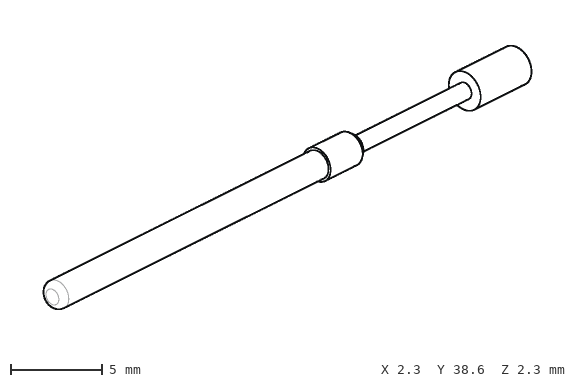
import cadquery as cq

total_length = 38.6

barrel_radius = 0.85
tail_round = 0.4

collar_radius = 1.0
collar_start = 22.05
collar_end = 25.05
collar_chamfer_length = 0.35
collar_chamfer_depth = 0.25

plunger_radius = 0.5

head_radius = 1.15
head_length = 4.25
head_start = total_length - head_length


def rod(radius, start, end):
    """Solid cylinder on the Y axis between two Y positions."""
    return cq.Workplane("XZ", origin=(0, start, 0)).circle(radius).extrude(start - end)


def make_barrel():
    """Straight barrel with a rounded tail that leaves a small flat tip."""
    return rod(barrel_radius, 0, collar_start).faces("<Y").edges().fillet(tail_round)


def make_collar():
    """Press-fit collar, chamfered on the plunger side."""
    profile = (
        cq.Workplane("XY")
        .moveTo(0, collar_start)
        .lineTo(collar_radius, collar_start)
        .lineTo(collar_radius, collar_end - collar_chamfer_length)
        .lineTo(collar_radius - collar_chamfer_depth, collar_end)
        .lineTo(0, collar_end)
        .close()
    )
    return profile.revolve(360, (0, 0, 0), (0, 1, 0))


plunger = rod(plunger_radius, collar_end, head_start)
head = rod(head_radius, head_start, total_length)

result = make_barrel().union(make_collar()).union(plunger).union(head)